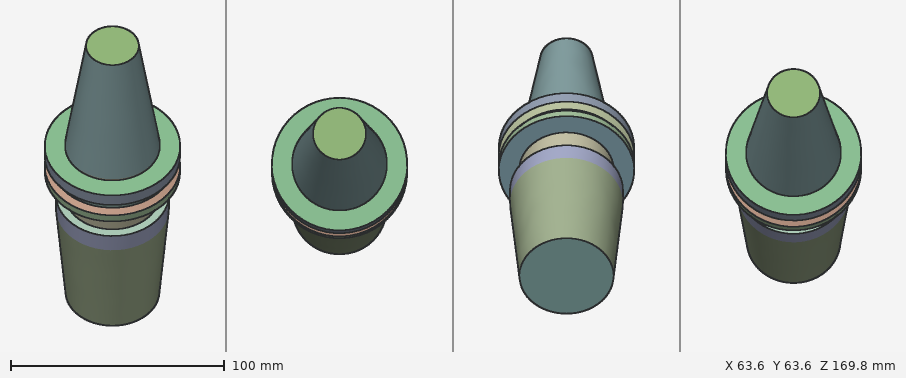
import cadquery as cq

total_height = 169.8
cone_base_z = 101.5
flange_top_z = 100.7
flange_bottom_z = 82.7
collar_top_z = 67.0
collar_bottom_z = 57.0

groove_upper_edge_z = 94.1
groove_lower_edge_z = 87.0
groove_bevel_height = 1.9

shank_tip_radius = 12.4
gauge_radius = 22.3
flange_radius = 31.8
groove_radius = 28.7
neck_radius = gauge_radius
collar_radius = 26.5
nose_radius = 22.0

nose_profile = [
    (0, 0),
    (nose_radius, 0),
    (collar_radius, collar_bottom_z),
    (collar_radius, collar_top_z),
    (neck_radius, collar_top_z),
    (neck_radius, flange_bottom_z),
]
flange_profile = [
    (flange_radius, flange_bottom_z),
    (flange_radius, groove_lower_edge_z),
    (groove_radius, groove_lower_edge_z + groove_bevel_height),
    (groove_radius, groove_upper_edge_z - groove_bevel_height),
    (flange_radius, groove_upper_edge_z),
    (flange_radius, flange_top_z),
]
shank_profile = [
    (gauge_radius, flange_top_z),
    (gauge_radius, cone_base_z),
    (shank_tip_radius, total_height),
    (0, total_height),
]

result = (
    cq.Workplane("XZ")
    .polyline(nose_profile + flange_profile + shank_profile)
    .close()
    .revolve(360, (0, 0, 0), (0, 1, 0))
)